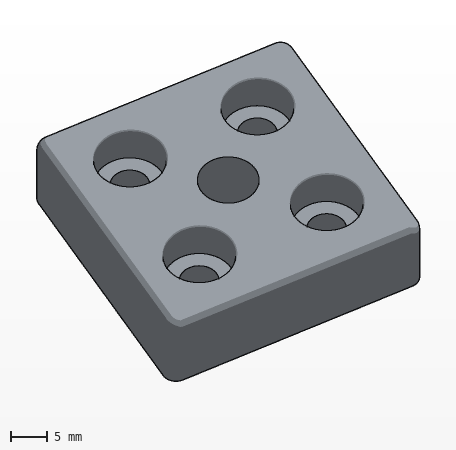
import cadquery as cq

side = 40.0
height = 12.0
edge_radius = 2.0

centre_hole_diameter = 8.5

screw_spacing = 20.0
screw_hole_diameter = 5.5
counterbore_diameter = 10.0
counterbore_depth = 5.6
rim_radius = 0.5


def rounded_block():
    """Square block standing on Z = 0, rounded on all edges but the bottom ones."""
    block = cq.Workplane("XY").box(side, side, height, centered=(True, True, False))
    return block.edges("|Z or >Z").fillet(edge_radius)


def cut_screw_holes(body):
    """Cut the four counterbored holes and round the counterbore rims."""
    body = (
        body.faces(">Z")
        .workplane(origin=(0, 0, height))
        .rarray(screw_spacing, screw_spacing, 2, 2)
        .cboreHole(screw_hole_diameter, counterbore_diameter, counterbore_depth)
    )
    return body.faces(">Z").edges("%CIRCLE").fillet(rim_radius)


def cut_centre_hole(body):
    """Cut the plain through hole in the middle of the block."""
    return body.faces(">Z").workplane(origin=(0, 0, height)).hole(centre_hole_diameter)


result = cut_centre_hole(cut_screw_holes(rounded_block()))